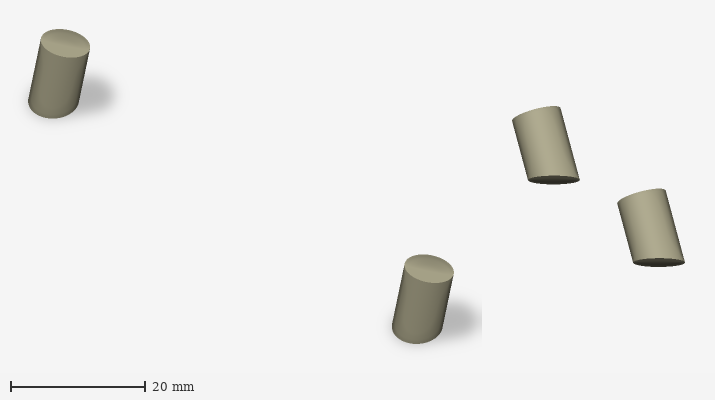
import cadquery as cq
import math

overall_width = 79.5
overall_height = 11.0
pin_diameter = 7.5
tilt_angle = 15.0

tilt = math.radians(tilt_angle)
pin_radius = pin_diameter / 2
pin_spacing = overall_width - pin_diameter
axis_length = (overall_height - pin_radius * math.sin(tilt)) / math.cos(tilt)
foot_allowance = pin_diameter


def make_pin(x_position):
    """Tilted round pin with a square-cut top and a horizontal foot at Z = 0."""
    axis = cq.Vector(0, math.sin(tilt), math.cos(tilt))
    foot_center = cq.Vector(x_position, 0, 0)
    blank = cq.Solid.makeCylinder(
        pin_radius,
        axis_length + foot_allowance,
        foot_center - axis * foot_allowance,
        axis,
    )
    trim_size = 4 * pin_diameter
    trim_block = (
        cq.Workplane("XY")
        .box(trim_size, trim_size, trim_size, centered=(True, True, False))
        .translate((x_position, 0, -trim_size))
    )
    return cq.Workplane(blank).cut(trim_block)


pins = []
for side in (-1, 1):
    pins.append(make_pin(side * pin_spacing / 2).val())

result = cq.Compound.makeCompound(pins)